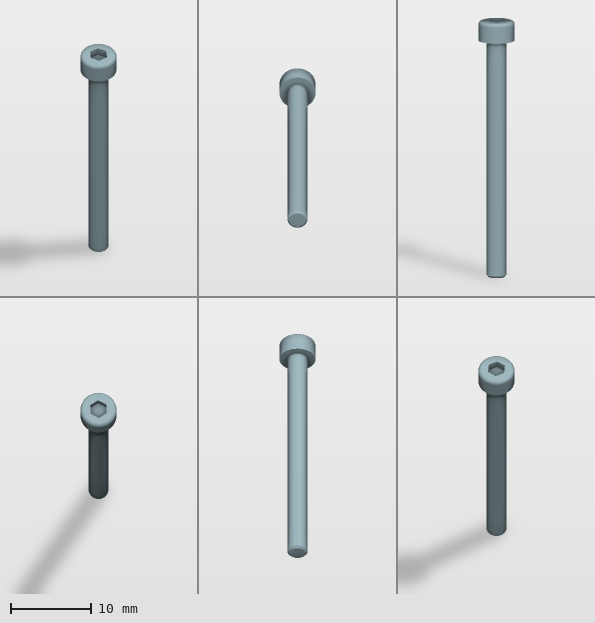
import cadquery as cq
import math

shank_diameter = 2.5
shank_length = 30.0
head_diameter = 4.5
head_height = 2.5
head_rim_radius = 0.45
tip_chamfer = 0.25
socket_across_flats = 2.0
socket_sides = 6
socket_depth = 1.1


def make_head():
    """Cylindrical head above Z = 0 with a rounded top rim."""
    head = cq.Workplane("XY").circle(head_diameter / 2).extrude(head_height)
    return head.faces(">Z").edges().fillet(head_rim_radius)


def make_shank():
    """Plain shank below Z = 0 with a chamfered tip."""
    shank = cq.Workplane("XY").circle(shank_diameter / 2).extrude(-shank_length)
    return shank.faces("<Z").edges().chamfer(tip_chamfer)


def make_socket():
    """Flat-bottomed hexagonal socket with two corners on the X axis."""
    across_corners = socket_across_flats / math.cos(math.pi / socket_sides)
    top = cq.Workplane("XY").workplane(offset=head_height)
    return top.polygon(socket_sides, across_corners).extrude(-socket_depth)


result = make_head().union(make_shank()).cut(make_socket())